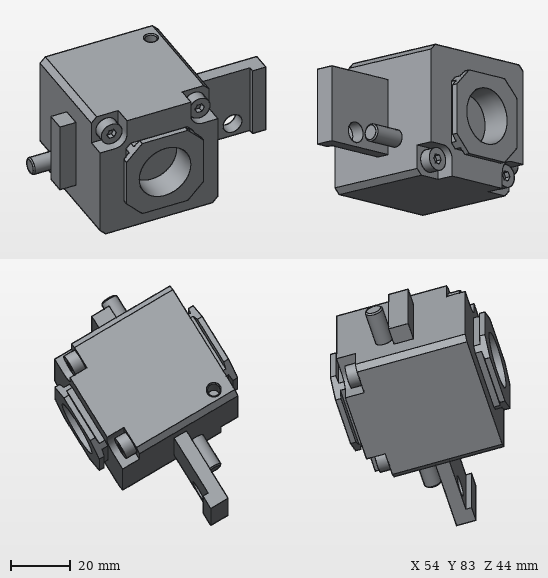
import cadquery as cq

BODY_LENGTH = 45.0
BODY_SIDE = 44.0
BODY_CHAMFER = 2.0

OVERALL_LENGTH = 54.0
FLANGE_SIDE = 28.8
NECK_SIDE = 24.7
FLANGE_RIM = 1.9
FLANGE_TAPER = 0.4
CORNER_CUT = 5.9
BORE_DIAMETER = 19.25
BORE_FLOOR_DIAMETER = 18.6
BORE_DEPTH = 10.0

NOTCH_DEPTH = 6.55
NOTCH_SIDE = 10.05
HEAD_DIAMETER = 7.8
HEAD_HEIGHT = 4.1
SCREW_EDGE_DISTANCE = 5.6
SOCKET_CORNERS = 3.5
SOCKET_DEPTH = 2.0

PIN_DIAMETER = 6.0
PIN_LENGTH = 68.1
PIN_CHAMFER = 0.5
PIN_X = -5.9
PIN_Z = -8.0

PLATE_X_MIN = -2.4
PLATE_THICKNESS = 6.8
PLATE_THIN = 4.8
PLATE_HEIGHT = 25.8
PLATE_Y_MAX = 49.0
PLATE_Y_MIN = -28.0
HOOK_LENGTH = 5.0
PLATE_HOLE_DIAMETER = 7.0
PLATE_HOLE_END_DISTANCE = 11.45

TOP_HOLE_DIAMETER = 4.15
TOP_HOLE_MOUTH = 5.0
TOP_HOLE_DEPTH = 10.0
TOP_HOLE_OFFSET = 16.4

SPIGOT_LENGTH = (OVERALL_LENGTH - BODY_LENGTH) / 2
SCREW_OFFSET = BODY_SIDE / 2 - SCREW_EDGE_DISTANCE


def end_plane(x, side):
    """Plane at x whose normal points outward along side * X."""
    return cq.Plane(origin=(x, 0, 0), xDir=(0, 1, 0), normal=(side, 0, 0))


def make_body():
    block = cq.Workplane("XY").box(BODY_LENGTH, BODY_SIDE, BODY_SIDE)
    return block.edges("|X").chamfer(BODY_CHAMFER)


def make_spigot(side):
    """Square neck and tapered flange, with all four corners cut by common diagonal planes."""
    rim_start = OVERALL_LENGTH / 2 - FLANGE_RIM
    neck_end = rim_start - FLANGE_TAPER
    neck = end_plane(side * BODY_LENGTH / 2, side)
    taper = end_plane(side * neck_end, side)
    rim = end_plane(side * rim_start, side)
    spigot = cq.Workplane(neck).rect(NECK_SIDE, NECK_SIDE).extrude(SPIGOT_LENGTH)
    spigot = spigot.union(
        cq.Workplane(taper).rect(NECK_SIDE, NECK_SIDE)
        .workplane(offset=FLANGE_TAPER).rect(FLANGE_SIDE, FLANGE_SIDE).loft()
    )
    spigot = spigot.union(cq.Workplane(rim).rect(FLANGE_SIDE, FLANGE_SIDE).extrude(FLANGE_RIM))
    corner_limit = (
        cq.Workplane(neck).rect(FLANGE_SIDE, FLANGE_SIDE).extrude(SPIGOT_LENGTH)
        .edges("|X").chamfer(CORNER_CUT)
    )
    return spigot.intersect(corner_limit)


def make_bore(side):
    """Blind bore, narrowing slightly towards its floor."""
    mouth = end_plane(side * OVERALL_LENGTH / 2, -side)
    return (
        cq.Workplane(mouth).circle(BORE_DIAMETER / 2)
        .workplane(offset=BORE_DEPTH).circle(BORE_FLOOR_DIAMETER / 2).loft()
    )


def make_notch(side, y_sign, z_sign):
    """Corner pocket whose inner edge is rounded about the screw axis."""
    floor = end_plane(side * (BODY_LENGTH / 2 - NOTCH_DEPTH), side)
    centre = BODY_SIDE / 2 - NOTCH_SIDE / 2
    corner_radius = NOTCH_SIDE - SCREW_EDGE_DISTANCE
    pocket = cq.Workplane(floor).rect(NOTCH_SIDE, NOTCH_SIDE).extrude(NOTCH_DEPTH)
    inner_y = "<Y" if y_sign > 0 else ">Y"
    inner_z = "<Z" if z_sign > 0 else ">Z"
    pocket = pocket.faces(inner_y).edges("|X").edges(inner_z).fillet(corner_radius)
    return pocket.translate((0, y_sign * centre, z_sign * centre))


def make_screw(side, y_sign, z_sign):
    """Cylindrical screw head with a hexagon socket."""
    seat = end_plane(side * (BODY_LENGTH / 2 - NOTCH_DEPTH), side)
    head = cq.Workplane(seat).circle(HEAD_DIAMETER / 2).extrude(HEAD_HEIGHT)
    socket = (
        cq.Workplane(seat).workplane(offset=HEAD_HEIGHT - SOCKET_DEPTH)
        .polygon(6, SOCKET_CORNERS).extrude(SOCKET_DEPTH)
    )
    return head.cut(socket).translate((0, y_sign * SCREW_OFFSET, z_sign * SCREW_OFFSET))


def make_pin():
    pin = cq.Workplane("XZ").circle(PIN_DIAMETER / 2).extrude(PIN_LENGTH / 2, both=True)
    return pin.faces("<Y or >Y").chamfer(PIN_CHAMFER).translate((PIN_X, 0, PIN_Z))


def make_plate():
    """Flat plate, full thickness at the front and at the hook, thinner between body and hook."""
    x_max = PLATE_X_MIN + PLATE_THICKNESS
    x_thin = PLATE_X_MIN + PLATE_THIN
    hook_start = PLATE_Y_MAX - HOOK_LENGTH
    thin_start = BODY_SIDE / 2
    plate = (
        cq.Workplane("XY")
        .moveTo(PLATE_X_MIN, PLATE_Y_MIN)
        .lineTo(x_max, PLATE_Y_MIN)
        .lineTo(x_max, thin_start)
        .lineTo(x_thin, thin_start)
        .lineTo(x_thin, hook_start)
        .lineTo(x_max, hook_start)
        .lineTo(x_max, PLATE_Y_MAX)
        .lineTo(PLATE_X_MIN, PLATE_Y_MAX)
        .close()
        .extrude(PLATE_HEIGHT / 2, both=True)
    )
    hole_y = PLATE_Y_MAX - PLATE_HOLE_END_DISTANCE
    hole = (
        cq.Workplane("YZ", origin=(PLATE_X_MIN, hole_y, PIN_Z))
        .circle(PLATE_HOLE_DIAMETER / 2).extrude(PLATE_THICKNESS)
    )
    return plate.cut(hole)


def make_top_hole():
    """Blind hole with a 45 degree countersink at its mouth."""
    mouth = cq.Workplane("XY", origin=(-TOP_HOLE_OFFSET, TOP_HOLE_OFFSET, BODY_SIDE / 2))
    hole = mouth.circle(TOP_HOLE_DIAMETER / 2).extrude(-TOP_HOLE_DEPTH)
    countersink_depth = (TOP_HOLE_MOUTH - TOP_HOLE_DIAMETER) / 2
    countersink = (
        mouth.circle(TOP_HOLE_MOUTH / 2)
        .workplane(offset=-countersink_depth).circle(TOP_HOLE_DIAMETER / 2).loft()
    )
    return hole.union(countersink)


result = make_body().union(make_pin()).union(make_plate()).cut(make_top_hole())

for end in (-1, 1):
    result = result.union(make_spigot(end)).cut(make_bore(end))
    for y_side in (-1, 1):
        result = result.cut(make_notch(end, y_side, end))
        result = result.union(make_screw(end, y_side, end))